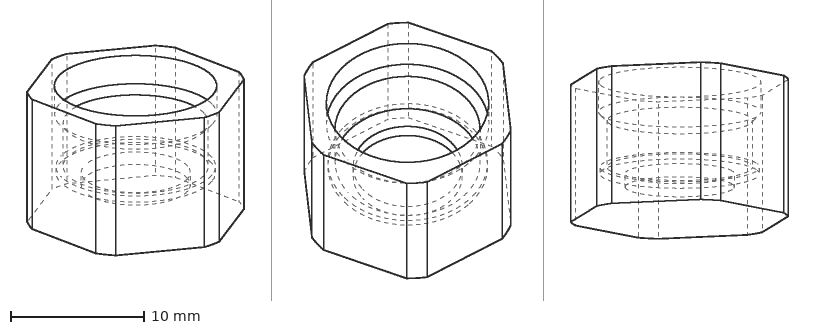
import cadquery as cq
import math

height = 10.5
across_flats = 15.0
corner_diameter = 16.5

mouth_diameter = 12.2
bore_diameter = 10.9
recess_diameter = 8.2
relief_diameter = 12.0
seat_top_depth = 2.3
seat_bottom_depth = seat_top_depth + (mouth_diameter - bore_diameter) / 2
relief_top_depth = 6.5
floor_depth = 7.0
recess_depth = floor_depth + 1.0


def make_body():
    """Hexagonal prism with two corners on the X axis, trimmed to a cylinder."""
    across_corners = across_flats / math.cos(math.pi / 6)
    hexagon = cq.Workplane("XY").polygon(6, across_corners).extrude(height)
    corner_limit = cq.Workplane("XY").circle(corner_diameter / 2).extrude(height)
    return hexagon.intersect(corner_limit)


def make_bore():
    """Revolved cavity: mouth, conical seat, bore, relief groove and floor recess."""
    mouth_radius = mouth_diameter / 2
    bore_radius = bore_diameter / 2
    relief_radius = relief_diameter / 2
    recess_radius = recess_diameter / 2
    profile = (
        cq.Workplane("XZ", origin=(0, 0, height))
        .lineTo(mouth_radius, 0)
        .lineTo(mouth_radius, -seat_top_depth)
        .lineTo(bore_radius, -seat_bottom_depth)
        .lineTo(bore_radius, -relief_top_depth)
        .lineTo(relief_radius, -relief_top_depth)
        .lineTo(relief_radius, -floor_depth)
        .lineTo(recess_radius, -floor_depth)
        .lineTo(recess_radius, -recess_depth)
        .lineTo(0, -recess_depth)
        .close()
    )
    return profile.revolve(360, (0, 0, 0), (0, 1, 0))


result = make_body().cut(make_bore())